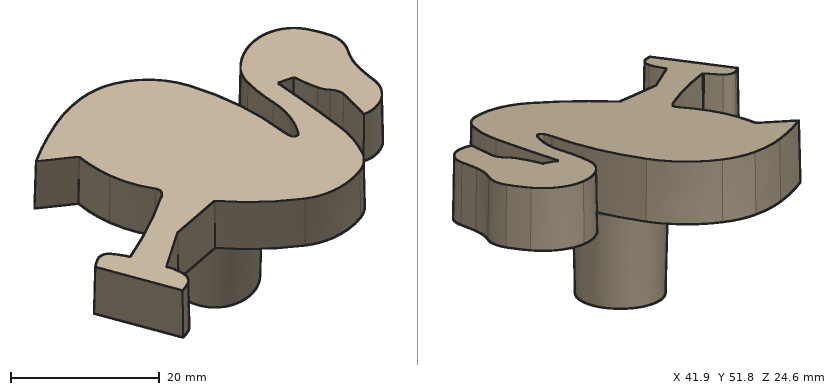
import cadquery as cq
import math


plate_thickness = 9.0
stem_length = 15.0
stem_tip_radius = 6.13
stem_fillet_radius = 1.5
plate_draft_angle = 1.0
stem_draft_angle = 1.5
pip_radius = 0.4
pip_projection = 0.6
pip_offset = 4.4

sole_y = -25.91

toe_corner = (-7.72, sole_y)
toe_bow = 0.05
toe_arcs = [
    (-7.94, -24.31),
    (-6.6, -22.59),
    (-3.98, -22.18),
]

leg_back_bow = -0.31
leg_back_and_belly_arcs = [
    (-3.98, -10.22),
    (-5.0, -9.44),
    (-11.66, -9.31),
    (-16.78, -7.48),
]

tail_tip = (-22.05, -10.4)
tail_bow = 0.18
back_arcs = [
    (-21.98, -2.64),
    (-20.46, 3.01),
    (-17.22, 7.21),
    (-7.42, 10.44),
    (7.46, 6.77),
]
throat_arcs = [
    (8.7, 6.41),
    (9.15, 7.13),
    (4.15, 11.13),
]
head_arcs = [
    (-0.35, 13.37),
    (-2.58, 16.39),
    (-2.39, 21.09),
    (3.58, 25.8),
    (7.09, 25.86),
    (10.38, 23.91),
]
bill_arcs = [
    (13.0, 21.41),
    (15.58, 20.03),
    (17.74, 16.8),
    (16.4, 13.3),
]

bill_root = (12.43, 15.93)
mouth_bow = -0.17
mouth_arcs = [
    (10.59, 16.02),
    (8.76, 15.82),
    (5.23, 16.47),
]

mouth_corner = (3.75, 14.94)
breast_bow = 0.07
breast_arcs = [
    (14.16, 10.33),
    (18.7, 6.9),
    (19.69, 3.4),
    (14.49, -4.14),
    (3.3, -8.76),
]

knee = (0.72, -15.95)
ankle = (1.5, -22.19)
heel_bow = 0.1
heel_arcs = [
    (4.09, -22.66),
    (5.31, -24.49),
    (5.08, sole_y),
]


def add_tangent_arcs(outline, start, bow, ends):
    """Extend the outline from start: one bowed arc, then arcs tangent to each other."""
    x0, y0 = start
    x1, y1 = ends[0]
    chord = math.hypot(x1 - x0, y1 - y0)
    middle_x = (x0 + x1) / 2 - bow * (y1 - y0) / chord
    middle_y = (y0 + y1) / 2 + bow * (x1 - x0) / chord
    outline = outline.threePointArc((middle_x, middle_y), ends[0])
    for end in ends[1:]:
        outline = outline.tangentArcPoint(end, relative=False)
    return outline


def flamingo_outline():
    """Closed outline of the plate's underside."""
    outline = cq.Workplane("XY").moveTo(*toe_corner)
    outline = add_tangent_arcs(outline, toe_corner, toe_bow, toe_arcs)
    outline = add_tangent_arcs(outline, toe_arcs[-1], leg_back_bow, leg_back_and_belly_arcs)
    outline = outline.lineTo(*tail_tip)
    body_arcs = back_arcs + throat_arcs + head_arcs + bill_arcs
    outline = add_tangent_arcs(outline, tail_tip, tail_bow, body_arcs)
    outline = outline.lineTo(*bill_root)
    outline = add_tangent_arcs(outline, bill_root, mouth_bow, mouth_arcs)
    outline = outline.lineTo(*mouth_corner)
    outline = add_tangent_arcs(outline, mouth_corner, breast_bow, breast_arcs)
    outline = outline.lineTo(*knee).lineTo(*ankle)
    outline = add_tangent_arcs(outline, ankle, heel_bow, heel_arcs)
    return outline.close()


def make_plate():
    """Flamingo plate, largest at its underside and drafted inward toward the top."""
    return flamingo_outline().extrude(plate_thickness, taper=plate_draft_angle)


def make_stem():
    """Drafted stem revolved about Z, flaring into the plate with a concave fillet."""
    draft_slope = math.tan(math.radians(stem_draft_angle))
    neck_z = -stem_fillet_radius
    neck_radius = stem_tip_radius + (stem_length - stem_fillet_radius) * draft_slope
    flare_radius = neck_radius + stem_fillet_radius
    arc_inset = stem_fillet_radius * (1 - math.sqrt(0.5))
    return (
        cq.Workplane("XZ")
        .moveTo(0, -stem_length)
        .lineTo(stem_tip_radius, -stem_length)
        .lineTo(neck_radius, neck_z)
        .threePointArc((neck_radius + arc_inset, -arc_inset), (flare_radius, 0))
        .lineTo(0, 0)
        .close()
        .revolve(360, (0, 0), (0, 1))
    )


def make_pip():
    """Small ball standing out of the stem's end face, near its rim."""
    pip_z = -stem_length - pip_projection + pip_radius
    return cq.Workplane("XY").sphere(pip_radius).translate((pip_offset, 0, pip_z))


result = make_plate().union(make_stem()).union(make_pip())